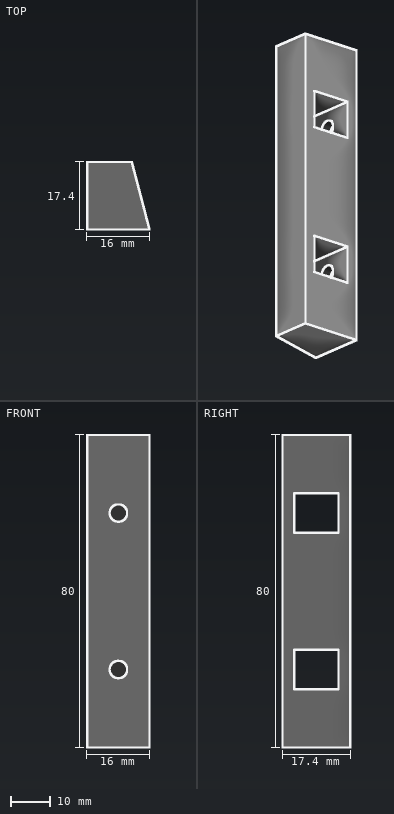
import cadquery as cq

height = 80.0
depth = 17.4
front_width = 16.0
back_width = 11.4

window_height = 10.0
wall = 3.0
window_depth = depth - 2 * wall
hole_diameter = 4.5
station_heights = (height / 4, height * 3 / 4)


def tapered_bar():
    outline = [(0, 0), (front_width, 0), (back_width, depth), (0, depth)]
    return cq.Workplane("XY").polyline(outline).close().extrude(height)


def window(z):
    return cq.Workplane("XY").box(front_width, window_depth, window_height).translate(
        (front_width / 2, depth / 2, z)
    )


def front_hole(z):
    """Round hole through the front wall, ending in the middle of the window."""
    return (
        cq.Workplane("XZ")
        .center(front_width / 2, z)
        .circle(hole_diameter / 2)
        .extrude(-depth / 2)
    )


result = tapered_bar()
for station in station_heights:
    result = result.cut(window(station)).cut(front_hole(station))